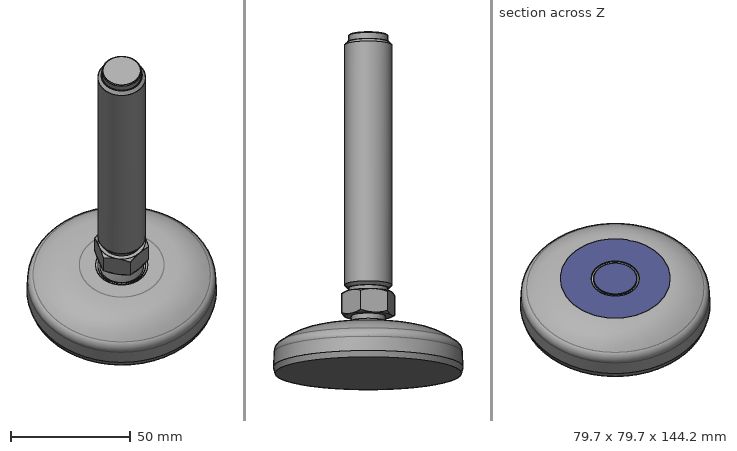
import cadquery as cq
import math

plate_bottom_diameter = 78.2
plate_rim_diameter = 79.66
plate_shoulder_diameter = 79.0
plate_dome_edge_diameter = 74.4
plate_flat_diameter = 35.6
socket_diameter = 20.0
socket_ledge_diameter = 21.9
rim_height = 2.6
shoulder_height = 8.7
dome_edge_height = 12.7
plate_height = 19.0
shoulder_bulge = 0.75
dome_bulge = 1.75
socket_depth = 0.7
socket_ledge_depth = 0.2

total_height = 144.2
thread_diameter = 20.0
undercut_diameter = 16.5
neck_diameter = 14.3
collar_diameter = 18.4
collar_bulge = 0.2
tip_length = 3.0
tip_chamfer = 0.4
thread_end_diameter = 17.3
thread_chamfer = (thread_diameter - thread_end_diameter) / 2
neck_start_height = 22.2
undercut_length = 1.9

hex_sides = 6
hex_across_flats = 20.0
hex_height = 10.0
hex_bottom = 24.4
hex_top = hex_bottom + hex_height
hex_across_corners = hex_across_flats / math.cos(math.pi / hex_sides)
hex_chamfer_angle = 30.0


def bulged_midpoint(start, end, bulge):
    """Point beside the middle of the line start-end, offset outward and upward by bulge."""
    dx = end[0] - start[0]
    dz = end[1] - start[1]
    length = math.hypot(dx, dz)
    middle_x = (start[0] + end[0]) / 2
    middle_z = (start[1] + end[1]) / 2
    return (middle_x + bulge * dz / length, middle_z - bulge * dx / length)


def revolve_profile(profile):
    """Revolve a closed half section, drawn as radius and height, about the Z axis."""
    return profile.close().revolve(360, (0, 0, 0), (0, 1, 0))


def make_foot_plate():
    """Domed round foot with a shallow stepped socket for the spindle collar."""
    rim = (plate_rim_diameter / 2, rim_height)
    shoulder = (plate_shoulder_diameter / 2, shoulder_height)
    dome_edge = (plate_dome_edge_diameter / 2, dome_edge_height)
    flat_edge = (plate_flat_diameter / 2, plate_height)
    ledge_floor = plate_height - socket_ledge_depth
    socket_floor = plate_height - socket_depth
    profile = (
        cq.Workplane("XZ")
        .lineTo(plate_bottom_diameter / 2, 0)
        .lineTo(*rim)
        .lineTo(*shoulder)
        .threePointArc(bulged_midpoint(shoulder, dome_edge, shoulder_bulge), dome_edge)
        .threePointArc(bulged_midpoint(dome_edge, flat_edge, dome_bulge), flat_edge)
        .lineTo(socket_ledge_diameter / 2, plate_height)
        .lineTo(socket_ledge_diameter / 2, ledge_floor)
        .lineTo(socket_diameter / 2, ledge_floor)
        .lineTo(socket_diameter / 2, socket_floor)
        .lineTo(0, socket_floor)
    )
    return revolve_profile(profile)


def make_spindle():
    """Flared collar, neck, undercut, plain threaded shank and turned-down tip in one revolve."""
    collar_bottom = (collar_diameter / 2, plate_height - socket_depth)
    collar_top = (neck_diameter / 2, neck_start_height)
    undercut_top = hex_top + undercut_length
    tip_bottom = total_height - tip_length
    thread_radius = thread_diameter / 2
    thread_end_radius = thread_end_diameter / 2
    undercut_radius = undercut_diameter / 2
    profile = (
        cq.Workplane("XZ")
        .moveTo(0, collar_bottom[1])
        .lineTo(*collar_bottom)
        .threePointArc(bulged_midpoint(collar_bottom, collar_top, collar_bulge), collar_top)
        .lineTo(neck_diameter / 2, hex_bottom)
        .lineTo(undercut_radius, hex_bottom)
        .lineTo(undercut_radius, undercut_top)
        .lineTo(thread_end_radius, undercut_top)
        .lineTo(thread_radius, undercut_top + thread_chamfer)
        .lineTo(thread_radius, tip_bottom - thread_chamfer)
        .lineTo(thread_end_radius, tip_bottom)
        .lineTo(undercut_radius, tip_bottom)
        .lineTo(undercut_radius, total_height - tip_chamfer)
        .lineTo(undercut_radius - tip_chamfer, total_height)
        .lineTo(0, total_height)
    )
    return revolve_profile(profile)


def make_hexagon():
    """Hexagon with corners on the Y axis, its corners turned down by cones at both ends."""
    prism = (
        cq.Workplane("XY")
        .workplane(offset=hex_bottom)
        .transformed(rotate=(0, 0, 90))
        .polygon(hex_sides, hex_across_corners)
        .extrude(hex_height)
    )
    corner_radius = hex_across_corners / 2
    face_radius = hex_across_flats / 2
    chamfer_height = (corner_radius - face_radius) * math.tan(math.radians(hex_chamfer_angle))
    envelope = (
        cq.Workplane("XZ")
        .moveTo(0, hex_bottom)
        .lineTo(face_radius, hex_bottom)
        .lineTo(corner_radius, hex_bottom + chamfer_height)
        .lineTo(corner_radius, hex_top - chamfer_height)
        .lineTo(face_radius, hex_top)
        .lineTo(0, hex_top)
    )
    return prism.intersect(revolve_profile(envelope))


result = make_foot_plate().union(make_spindle()).union(make_hexagon())